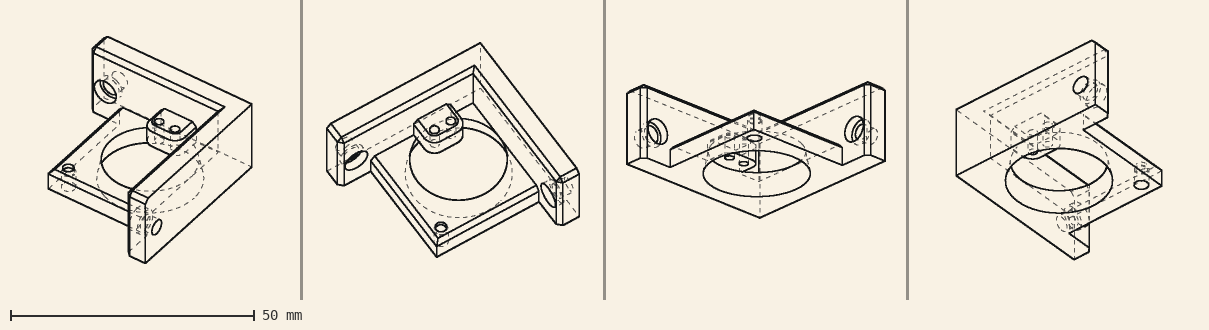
import cadquery as cq

outer_side = 37.5
wall_height = 17
wall_thickness = 5
plate_side = 25
plate_thickness = 5
edge_chamfer = 1

inner_face = outer_side - wall_thickness
plate_start = inner_face - plate_side

opening_diameter = 20
opening_bottom_diameter = 22
opening_center = inner_face - opening_diameter / 2

boss_hole_spacing = 4
boss_hole_diameter = 1.95
boss_corner_radius = 2.5
boss_hole_setback = 4
boss_top = 10
boss_width = boss_hole_spacing + 2 * boss_corner_radius
boss_length = boss_hole_setback + boss_corner_radius

corner_hole_diameter = 2.4
corner_bore_diameter = 3
corner_bore_depth = 4
corner_hole_inset = 3

screw_end_distance = 4
screw_height = 7
screw_counterbore_diameter = 5.5
screw_counterbore_depth = 2
y_wall_screw_diameter = 3.9
x_wall_screw_diameter = 3.4


def nearest_edge(x, y, z):
    """Selector for the edge whose midpoint is closest to the given point."""
    return cq.selectors.NearestToPointSelector((x, y, z))


def make_walls():
    """L-shaped pair of walls, chamfered on the inner edges and at both free ends."""
    walls = (
        cq.Workplane("XY")
        .moveTo(outer_side, outer_side)
        .lineTo(0, outer_side)
        .lineTo(0, inner_face)
        .lineTo(inner_face, inner_face)
        .lineTo(inner_face, 0)
        .lineTo(outer_side, 0)
        .close()
        .extrude(wall_height)
    )
    top_edges = cq.selectors.StringSyntaxSelector(">Z")
    outer_sides = nearest_edge(outer_side / 2, outer_side, wall_height)
    outer_sides += nearest_edge(outer_side, outer_side / 2, wall_height)
    end_corners = nearest_edge(0, inner_face, wall_height / 2)
    end_corners += nearest_edge(inner_face, 0, wall_height / 2)
    return walls.edges(top_edges - outer_sides + end_corners).chamfer(edge_chamfer)


def make_plate():
    """Square plate between the walls, chamfered along its two free top edges."""
    return (
        cq.Workplane("XY")
        .box(plate_side, plate_side, plate_thickness, centered=False)
        .edges(">Z and (<X or <Y)")
        .chamfer(edge_chamfer)
        .translate((plate_start, plate_start, 0))
    )


def make_boss():
    """Boss with rounded front corners and a chamfered top rim."""
    return (
        cq.Workplane("XY")
        .box(boss_width, boss_length, boss_top - plate_thickness, centered=(True, False, False))
        .edges("|Z and <Y")
        .fillet(boss_corner_radius)
        .faces(">Z")
        .edges("not >Y")
        .chamfer(edge_chamfer)
        .translate((opening_center, inner_face - boss_length, plate_thickness))
    )


def vertical_hole(x, y, diameter, height):
    """Round cutter that rises from the underside of the part."""
    return cq.Workplane("XY").center(x, y).circle(diameter / 2).extrude(height)


def screw_cutter(diameter):
    """Cutter along +Z that starts with its counterbore at Z = 0."""
    counterbore = cq.Workplane("XY").circle(screw_counterbore_diameter / 2).extrude(screw_counterbore_depth)
    through_hole = cq.Workplane("XY").circle(diameter / 2).extrude(wall_thickness)
    return counterbore.union(through_hole)


def opening_cutter():
    """Conical cutter for the plate opening, widest at the underside."""
    return (
        cq.Workplane("XY")
        .center(opening_center, opening_center)
        .circle(opening_bottom_diameter / 2)
        .workplane(offset=plate_thickness)
        .circle(opening_diameter / 2)
        .loft(ruled=True)
    )


result = make_walls().union(make_plate()).cut(opening_cutter()).union(make_boss())

corner_hole_position = plate_start + corner_hole_inset
for diameter, height in (
    (corner_hole_diameter, plate_thickness),
    (corner_bore_diameter, corner_bore_depth),
):
    result = result.cut(vertical_hole(corner_hole_position, corner_hole_position, diameter, height))

boss_hole_y = inner_face - boss_hole_setback
for side in (-1, 1):
    boss_hole_x = opening_center + side * boss_hole_spacing / 2
    result = result.cut(vertical_hole(boss_hole_x, boss_hole_y, boss_hole_diameter, boss_top))

y_wall_screw = screw_cutter(y_wall_screw_diameter).rotate((0, 0, 0), (1, 0, 0), -90)
result = result.cut(y_wall_screw.translate((screw_end_distance, inner_face, screw_height)))

x_wall_screw = screw_cutter(x_wall_screw_diameter).rotate((0, 0, 0), (0, 1, 0), 90)
result = result.cut(x_wall_screw.translate((inner_face, screw_end_distance, screw_height)))